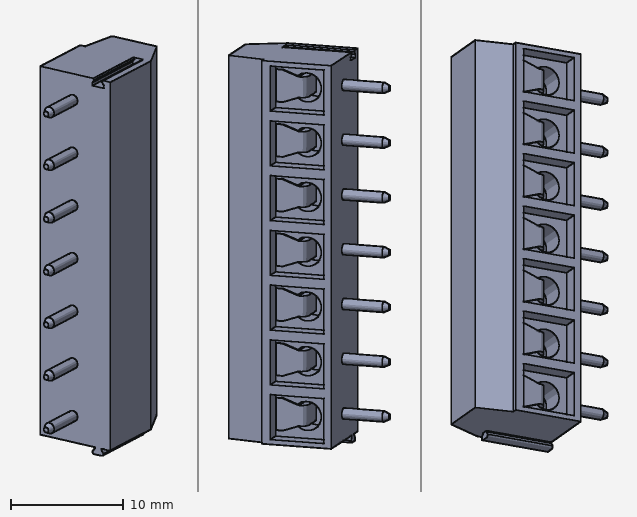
import cadquery as cq

pole_count = 7
body_height = 35.0
pitch = body_height / pole_count
body_width = 7.5
body_depth = 10.0
step_depth = 6.5
step_width = 0.5
roof_start = 1.07
roof_end = 5.85
shoulder_depth = 6.55

pin_x = 3.5
pin_radius = 0.5
pin_length = 4.3
pin_tip_length = 0.55
pin_tip_radius = 0.25

pocket_start = 0.68
pocket_length = 5.03
pocket_height = 4.1
pocket_depth = 1.5

hole_y = 2.75
hole_radius = 1.32
hole_depth = 2.5

leaf_rise = 0.18
leaf_wide = 2.95
leaf_narrow = 1.9
leaf_taper_start = 5.0
leaf_bend_radius = 0.7
leaf_taper_end = hole_y + leaf_bend_radius
leaf_back = 5.9

joint_x = 6.17
rail_height = 0.68
rail_neck_half = 0.35
rail_neck_height = 0.1
rail_half = 0.6
rail_corner_radius = 0.25
groove_depth = 0.7
groove_mouth_half = 0.5
groove_neck_half = 0.4
groove_half = 0.6
groove_neck_depth = 0.15
groove_flare_depth = 0.43


def make_body():
    outline = [
        (0, 0),
        (body_width, 0),
        (body_width, shoulder_depth),
        (roof_end, body_depth),
        (roof_start, body_depth),
        (step_width, step_depth),
        (0, step_depth),
    ]
    return cq.Workplane("XY").polyline(outline).close().extrude(body_height)


def make_pin(z):
    profile = [
        (0, 0),
        (pin_radius, 0),
        (pin_radius, pin_tip_length - pin_length),
        (pin_tip_radius, -pin_length),
        (0, -pin_length),
    ]
    pin = cq.Workplane("XY").polyline(profile).close().revolve(360, (0, 0, 0), (0, 1, 0))
    return pin.translate((pin_x, 0, z))


def make_pocket(z):
    recess = cq.Workplane("XY").box(
        pocket_depth, pocket_length, pocket_height, centered=(False, False, True)
    ).translate((0, pocket_start, z))
    hole = (
        cq.Workplane("YZ", origin=(pocket_depth, hole_y, z))
        .circle(hole_radius)
        .extrude(hole_depth)
    )
    return recess.union(hole)


def make_leaf(z):
    top_x = pocket_depth - leaf_rise
    bottom_x = pocket_depth + hole_depth
    half_wide = leaf_wide / 2
    half_narrow = leaf_narrow / 2
    plan = [
        (hole_y, -half_narrow),
        (leaf_taper_end, -half_narrow),
        (leaf_taper_start, -half_wide),
        (leaf_back, -half_wide),
        (leaf_back, half_wide),
        (leaf_taper_start, half_wide),
        (leaf_taper_end, half_narrow),
        (hole_y, half_narrow),
    ]
    leaf = (
        cq.Workplane("YZ", origin=(top_x, 0, z))
        .polyline(plan)
        .close()
        .extrude(bottom_x - top_x)
    )
    return leaf.faces("<X").edges("<Y or >Y").fillet(leaf_bend_radius)


def make_rail():
    corner_start = rail_height - rail_corner_radius
    bottom_half = rail_half - rail_corner_radius
    return (
        cq.Workplane("XZ", origin=(joint_x, step_depth, 0))
        .moveTo(-rail_neck_half, 0)
        .lineTo(rail_neck_half, 0)
        .lineTo(rail_neck_half, -rail_neck_height)
        .lineTo(rail_half, -corner_start)
        .radiusArc((bottom_half, -rail_height), rail_corner_radius)
        .lineTo(-bottom_half, -rail_height)
        .radiusArc((-rail_half, -corner_start), rail_corner_radius)
        .lineTo(-rail_neck_half, -rail_neck_height)
        .close()
        .extrude(step_depth)
    )


def make_groove():
    right_side = [
        (groove_mouth_half, 0),
        (groove_neck_half, -groove_neck_depth),
        (groove_half, -groove_flare_depth),
        (groove_half, -groove_depth),
    ]
    left_side = [(-x, z) for x, z in reversed(right_side)]
    return (
        cq.Workplane("XZ", origin=(joint_x, step_depth, body_height))
        .polyline(right_side + left_side)
        .close()
        .extrude(step_depth)
    )


result = make_body().cut(make_groove()).union(make_rail())
for pole in range(pole_count):
    pole_z = (pole + 0.5) * pitch
    result = result.cut(make_pocket(pole_z))
    result = result.union(make_leaf(pole_z))
    result = result.union(make_pin(pole_z))